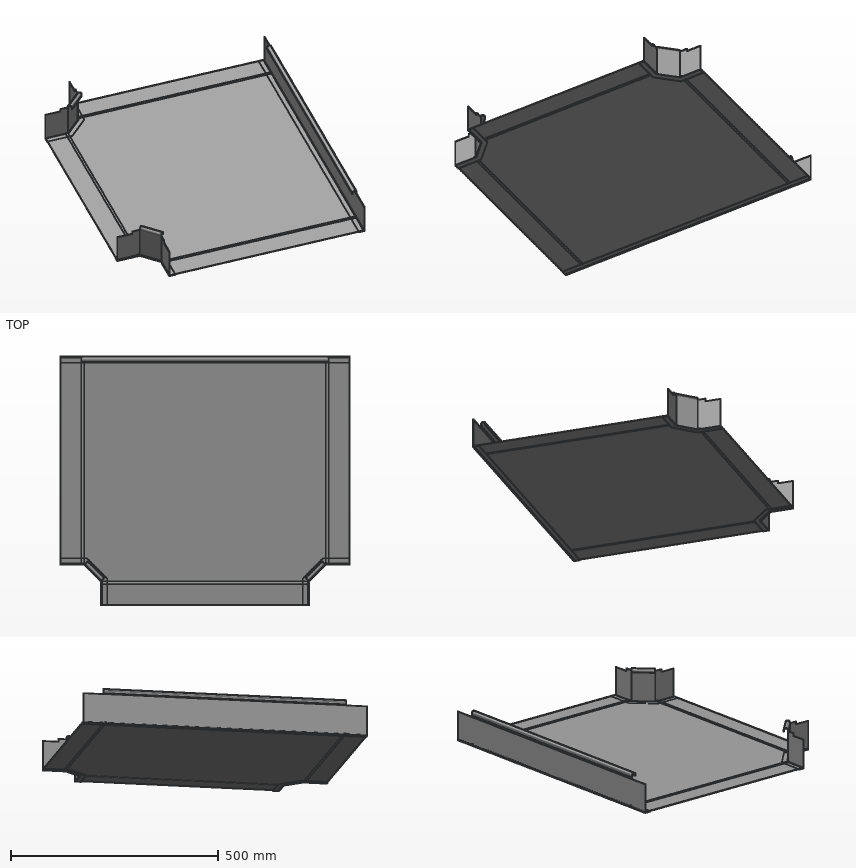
import cadquery as cq
import math

length_x = 699.0
length_y = 601.0
height = 88.0

sheet = 1.55
edge_gap = 1.5
flange_width = 15.5

opening = 503.5
corner_run = 40.0
corner_angle = math.radians(45)
coupling_length = 51.0

end_height = 73.5
shoulder_height = 80.5
shoulder_start = 38.5

lip_width = 12.0
lip_drop = 3.5
joggle_height = 3.0

bead_width = 6.0
bead_height = 1.6

half_x = length_x / 2
back_y = length_y / 2
front_y = -length_y / 2
half_opening = opening / 2
corner_y = back_y - opening
bend_x = half_opening + corner_run
bend_y = corner_y - corner_run
floor_bottom = sheet
floor_top = floor_bottom + sheet
bead_x = half_x - coupling_length
bead_y = front_y + coupling_length


def corner_path(inset):
    """Plan points along the right corner wall, moved into the tray by inset."""
    shift = inset * math.tan(corner_angle / 2)
    return [
        (half_x, corner_y + inset),
        (bend_x - shift, corner_y + inset),
        (half_opening - inset, bend_y + shift),
        (half_opening - inset, front_y),
    ]


def mirrored(points):
    return [(-x, y) for x, y in reversed(points)]


def corner_band(width, thickness):
    """Strip of the given width that follows the right corner wall, standing on Z = 0."""
    outline = corner_path(0) + corner_path(width)[::-1]
    return cq.Workplane("XY").polyline(outline).close().extrude(thickness)


def hook_section(plane, foot):
    """Section of a rolled lip; local x points into the tray and foot closes its base."""
    outer_radius = lip_width / 2
    inner_radius = outer_radius - sheet
    axis_z = height - outer_radius
    start, end = foot[0][0], foot[-1][0]
    middle = start + outer_radius
    free_z = axis_z - lip_drop
    return (
        cq.Workplane(plane)
        .polyline(foot)
        .lineTo(end, axis_z)
        .threePointArc((middle, axis_z + inner_radius), (middle + inner_radius, axis_z))
        .lineTo(middle + inner_radius, free_z)
        .lineTo(middle + outer_radius, free_z)
        .lineTo(middle + outer_radius, axis_z)
        .threePointArc((middle, height), (start, axis_z))
        .close()
    )


def corner_lip():
    """Rolled lip along the 45 degree part of the right corner wall."""
    plane = cq.Plane(origin=(half_opening, bend_y, 0), xDir=(-1, 1, 0), normal=(1, 1, 0))
    foot = [(0, end_height), (sheet, end_height)]
    return hook_section(plane, foot).extrude(math.hypot(corner_run, corner_run))


def corner_wall():
    """Right corner wall with its foot, stepped ends and lip."""
    wall = corner_band(sheet, shoulder_height)
    for x, y in ((half_x, corner_y), (half_opening, front_y)):
        end_cut = cq.Workplane("XY", origin=(x, y, end_height))
        end_cut = end_cut.rect(2 * shoulder_start, 2 * shoulder_start).extrude(height)
        wall = wall.cut(end_cut)
    return wall.union(corner_band(flange_width, sheet)).union(corner_lip())


def bead(span):
    """Shallow round bead along local Y, centred, with its chord on the floor top."""
    return (
        cq.Workplane("XZ")
        .moveTo(-bead_width / 2, 0)
        .threePointArc((0, bead_height), (bead_width / 2, 0))
        .close()
        .extrude(span / 2, both=True)
        .translate((0, 0, floor_top))
    )


def floor_plate():
    """T-shaped plate lying on the wall feet, with a bead across each opening."""
    inset = sheet + edge_gap
    back_edge = back_y - inset
    right_side = corner_path(inset)
    outline = [(-half_x, back_edge), (half_x, back_edge)] + right_side + mirrored(right_side)
    plate = cq.Workplane("XY").workplane(offset=floor_bottom).polyline(outline).close().extrude(sheet)
    span = opening - 2 * inset
    side_centre = bead_x - bead_width / 2
    for x in (-side_centre, side_centre):
        plate = plate.union(bead(span).translate((x, (back_y + corner_y) / 2, 0)))
    front_bead = bead(span).rotate((0, 0, 0), (0, 0, 1), 90)
    return plate.union(front_bead.translate((0, bead_y + bead_width / 2, 0)))


def make_base():
    """Floor plate joined to its two mirrored corner walls."""
    right = corner_wall()
    left = right.mirror("YZ")
    return floor_plate().union(right).union(left)


def make_back_wall():
    """Straight wall with a foot under the floor and a lip set inward by one sheet."""
    foot_and_wall = (
        cq.Workplane("YZ", origin=(-half_x, back_y, 0))
        .polyline([
            (0, 0),
            (0, end_height),
            (-sheet, end_height),
            (-sheet, sheet),
            (-flange_width, sheet),
            (-flange_width, 0),
        ])
        .close()
        .extrude(length_x)
    )
    plane = cq.Plane(origin=(bead_x, back_y, 0), xDir=(0, -1, 0), normal=(-1, 0, 0))
    foot = [
        (sheet, end_height + joggle_height),
        (0, end_height),
        (sheet, end_height),
        (2 * sheet, end_height + joggle_height),
    ]
    lip = hook_section(plane, foot).extrude(2 * bead_x)
    return foot_and_wall.union(lip)


base = make_base()
back_wall = make_back_wall()

result = cq.Compound.makeCompound([*base.solids().vals(), *back_wall.solids().vals()])